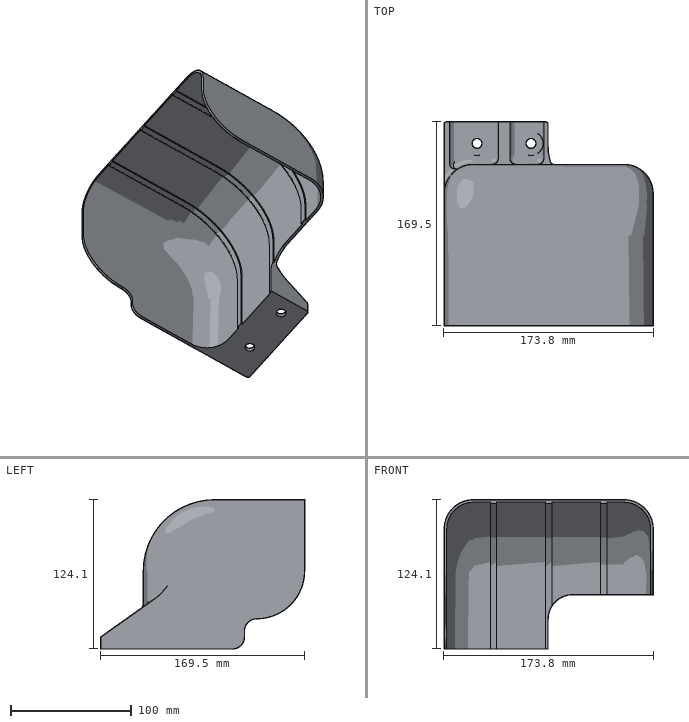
import cadquery as cq

WIDTH = 173.79
HEIGHT = 124.14
BODY_DEPTH = 134.2
WALL = 2.2
BEND_RADIUS = 59.4
CORNER_RADIUS = 24.5

MIDDLE_X = WIDTH / 2
LEFT_WIDTH = 86.5
RIGHT_BOTTOM = 45.0
STEP_RADIUS = 20.0

LEFT_FRONT_BOTTOM = 25.0
LEFT_FRONT_RADIUS = 40.0
LEFT_FOOT_RADIUS = 10.0

RIGHT_FRONT_RADIUS = 40.0

RIB_WIDTH = 5.2
RIB_HEIGHT = 1.2
RIB_SPACING = 45.8

FLANGE_END = 169.52
FLANGE_END_HEIGHT = 10.0
FLANGE_CORNER_RADIUS = 2.0
GUSSET_WALL_HEIGHT = 35.0
GUSSET_TOP_FILLET = 5.0
LEFT_GUSSET = 4.5
MIDDLE_GUSSET = 9.5
MIDDLE_GUSSET_X = 49.8
RIGHT_GUSSET = 3.6
FLOOR = 4.0
POCKET_SIDE_FILLET = 5.0
POCKET_WALL_FILLET = 7.5

HOLE_DIAMETER = 8.0
HOLE_SPACING = 44.8
HOLE_Y = 151.5
HEAD_DIAMETER = 20.0
HEAD_CLEARANCE = 10.0

OVERSHOOT = 10.0


def bent_block(inset, overshoot):
    """Solid enclosed by the bent shell surface, shrunk by inset and run past the open sides by overshoot."""
    block = (
        cq.Workplane("XY")
        .box(
            WIDTH - 2 * inset,
            BODY_DEPTH - inset + overshoot,
            HEIGHT - inset + overshoot,
            centered=False,
        )
        .translate((inset, -overshoot, -overshoot))
    )
    block = block.edges(">Y and >Z").fillet(BEND_RADIUS - inset)
    return block.faces("<X or >X").edges("(not <Y) and (not <Z)").fillet(CORNER_RADIUS - inset)


def gusset_block():
    """Wedge behind the left part, falling from the back wall to the flange end."""
    slope = (GUSSET_WALL_HEIGHT - FLANGE_END_HEIGHT) / (FLANGE_END - BODY_DEPTH)
    start = BODY_DEPTH - BEND_RADIUS
    start_height = FLANGE_END_HEIGHT + slope * (FLANGE_END - start)
    return (
        cq.Workplane("YZ")
        .moveTo(start, 0)
        .lineTo(FLANGE_END, 0)
        .lineTo(FLANGE_END, FLANGE_END_HEIGHT)
        .lineTo(start, start_height)
        .close()
        .extrude(LEFT_WIDTH + STEP_RADIUS)
    )


def space_behind_body(left, right):
    """Space above the floor and behind the round-cornered back wall, from left to right."""
    start = BODY_DEPTH - CORNER_RADIUS
    height = HEIGHT - BEND_RADIUS - FLOOR
    footprint = (
        cq.Workplane("XY")
        .rect(WIDTH, BODY_DEPTH, centered=False)
        .extrude(height)
        .edges("|Z and >Y")
        .fillet(CORNER_RADIUS)
    )
    return (
        cq.Workplane("XY")
        .box(right - left, FLANGE_END + OVERSHOOT - start, height, centered=False)
        .translate((left, start, 0))
        .cut(footprint)
        .translate((0, 0, FLOOR))
    )


def blended_pocket(left, right, sides):
    """Pocket blended along the foot of the back wall, then along the side faces picked by sides."""
    block = space_behind_body(left, right)
    block = block.faces("<Z").edges("not (<X or >X or >Y)").fillet(POCKET_WALL_FILLET)
    return block.faces(sides).edges("not (>Y or >Z)").fillet(POCKET_SIDE_FILLET)


def left_pocket():
    """Pocket whose left side meets the rounded body corner at a sharp angle and is rounded off there."""
    right = MIDDLE_GUSSET_X - MIDDLE_GUSSET / 2
    left_side = space_behind_body(LEFT_GUSSET, right + OVERSHOOT)
    left_side = left_side.faces("<X").edges("|Z and <Y").fillet(POCKET_SIDE_FILLET)
    left_side = left_side.faces("<Z").edges("not (>X or >Y)").fillet(POCKET_SIDE_FILLET)
    return blended_pocket(0, right, ">X").intersect(left_side)


def right_pocket():
    """Pocket behind the straight stretch of the back wall."""
    left = MIDDLE_GUSSET_X + MIDDLE_GUSSET / 2
    return blended_pocket(left, LEFT_WIDTH - RIGHT_GUSSET, "<X or >X")


def ribbed_cavity():
    """Inside of the shell, with grooves left out of it where the ribs stand."""
    cavity = bent_block(WALL, OVERSHOOT)
    rib_core = bent_block(WALL + RIB_HEIGHT, 2 * OVERSHOOT)
    for offset in (-RIB_SPACING, 0, RIB_SPACING):
        rib = (
            cq.Workplane("XY")
            .box(RIB_WIDTH, 2 * FLANGE_END, 2 * FLANGE_END)
            .translate((MIDDLE_X + offset, 0, 0))
            .cut(rib_core)
        )
        cavity = cavity.cut(rib)
    return cavity


def stepped_envelope():
    """Outline across the width with its stepped lower edge, run over the whole depth."""
    return (
        cq.Workplane("XZ")
        .lineTo(LEFT_WIDTH, 0)
        .lineTo(LEFT_WIDTH, RIGHT_BOTTOM - STEP_RADIUS)
        .radiusArc((LEFT_WIDTH + STEP_RADIUS, RIGHT_BOTTOM), STEP_RADIUS)
        .lineTo(WIDTH, RIGHT_BOTTOM)
        .lineTo(WIDTH, HEIGHT)
        .lineTo(0, HEIGHT)
        .close()
        .extrude(-FLANGE_END)
    )


def left_wall_cutter():
    """Space below and in front of the left side wall: a large front arc, then a rounded step to the foot."""
    arc_top = LEFT_FRONT_BOTTOM + LEFT_FRONT_RADIUS
    foot_front = LEFT_FRONT_RADIUS + LEFT_FOOT_RADIUS
    foot_end = foot_front + LEFT_FOOT_RADIUS
    return (
        cq.Workplane("YZ")
        .moveTo(-OVERSHOOT, -OVERSHOOT)
        .lineTo(-OVERSHOOT, arc_top)
        .lineTo(0, arc_top)
        .radiusArc((LEFT_FRONT_RADIUS, LEFT_FRONT_BOTTOM), -LEFT_FRONT_RADIUS)
        .radiusArc((foot_front, LEFT_FRONT_BOTTOM - LEFT_FOOT_RADIUS), LEFT_FOOT_RADIUS)
        .lineTo(foot_front, LEFT_FOOT_RADIUS)
        .radiusArc((foot_end, 0), -LEFT_FOOT_RADIUS)
        .lineTo(foot_end, -OVERSHOOT)
        .close()
        .extrude(MIDDLE_X)
    )


def right_wall_cutter():
    """Space in front of the rounded lower front corner of the right side wall."""
    arc_top = RIGHT_BOTTOM + RIGHT_FRONT_RADIUS
    return (
        cq.Workplane("YZ", origin=(MIDDLE_X, 0, 0))
        .moveTo(-OVERSHOOT, RIGHT_BOTTOM - OVERSHOOT)
        .lineTo(-OVERSHOOT, arc_top)
        .lineTo(0, arc_top)
        .radiusArc((RIGHT_FRONT_RADIUS, RIGHT_BOTTOM), -RIGHT_FRONT_RADIUS)
        .lineTo(RIGHT_FRONT_RADIUS, RIGHT_BOTTOM - OVERSHOOT)
        .close()
        .extrude(WIDTH)
    )


def screw_hole(x):
    """Screw hole through the floor with the head clearance above it."""
    hole = cq.Workplane("XY").center(x, HOLE_Y).circle(HOLE_DIAMETER / 2).extrude(FLOOR)
    head = (
        cq.Workplane("XY", origin=(x, HOLE_Y, FLOOR))
        .circle(HEAD_DIAMETER / 2)
        .extrude(HEAD_CLEARANCE)
    )
    return hole.union(head)


part = bent_block(0, 0).union(gusset_block())
gusset_top_edge = cq.selectors.NearestToPointSelector((MIDDLE_GUSSET_X, BODY_DEPTH, GUSSET_WALL_HEIGHT))
part = part.edges(gusset_top_edge).fillet(GUSSET_TOP_FILLET)

part = part.cut(left_pocket()).cut(right_pocket())

part = part.cut(ribbed_cavity())
part = part.intersect(stepped_envelope())
part = part.cut(left_wall_cutter()).cut(right_wall_cutter())

part = part.faces(">Y").edges("|Z and (<X or >X)").fillet(FLANGE_CORNER_RADIUS)

for side in (-1, 1):
    part = part.cut(screw_hole(MIDDLE_GUSSET_X + side * HOLE_SPACING / 2))

result = part